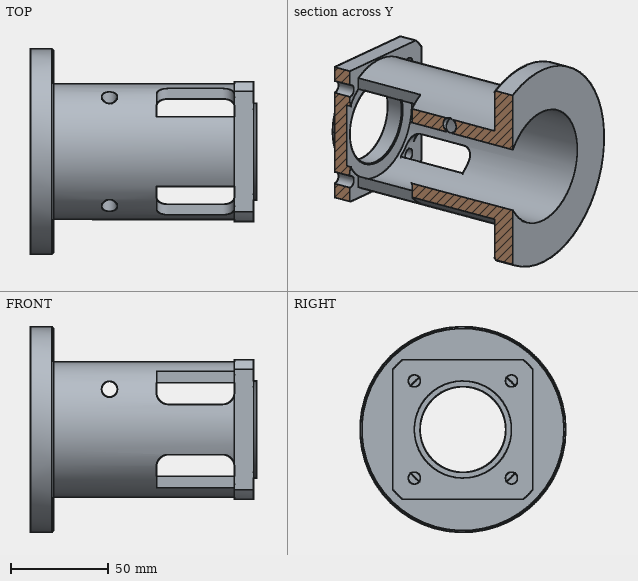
import cadquery as cq

flange_thickness = 12.0
plate_thickness = 10.0
pilot_length = 1.5
total_length = 116.5
plate_end = total_length - pilot_length
plate_start = plate_end - plate_thickness

flange_diameter = 106.0
flange_chamfer = 1.0
tube_diameter = 70.0
bore_diameter = 60.0
pilot_diameter = 50.0
pilot_bore_diameter = 44.0
main_bore_depth_in_plate = 2.0
main_bore_end = plate_start + main_bore_depth_in_plate
pilot_bore_chamfer = 0.5

plate_side = 72.0
plate_corner_diameter = 95.0
bolt_hole_diameter = 6.2
bolt_hole_offset = 25.0

window_length = 40.0
window_inner_y = 18.0
window_inner_z = 13.0
window_corner_radius = 6.0

cross_hole_diameter = 8.0
cross_hole_x = 40.75
cross_hole_z = 20.75


def x_cylinder(diameter, start, end):
    """Cylinder on the X axis between two X positions."""
    plane = cq.Workplane("YZ", origin=(start, 0, 0))
    return plane.circle(diameter / 2).extrude(end - start)


def make_flange():
    flange = x_cylinder(flange_diameter, 0, flange_thickness)
    return flange.faces(">X").chamfer(flange_chamfer)


def make_plate():
    plane = cq.Workplane("YZ", origin=(plate_start, 0, 0))
    plate = plane.rect(plate_side, plate_side).extrude(plate_thickness)
    return plate.intersect(x_cylinder(plate_corner_diameter, plate_start, plate_end))


def make_bores():
    """Main bore a little way into the plate, then a smaller bore with a chamfered mouth."""
    main_bore = x_cylinder(bore_diameter, 0, main_bore_end)
    pilot_bore = x_cylinder(pilot_bore_diameter, main_bore_end, total_length)
    mouth = cq.Solid.makeCone(
        pilot_bore_diameter / 2 + pilot_bore_chamfer,
        pilot_bore_diameter / 2,
        pilot_bore_chamfer,
        pnt=cq.Vector(main_bore_end, 0, 0),
        dir=cq.Vector(1, 0, 0),
    )
    return main_bore.union(pilot_bore).union(cq.Workplane(mouth))


def make_bolt_holes():
    spacing = 2 * bolt_hole_offset
    plane = cq.Workplane("YZ", origin=(plate_start, 0, 0))
    holes = plane.rarray(spacing, spacing, 2, 2).circle(bolt_hole_diameter / 2)
    return holes.extrude(plate_thickness)


def make_window(y_side, z_side):
    """Block that opens one quadrant; only its two corners nearest the axis are rounded."""
    reach = tube_diameter / 2
    size_y = reach - window_inner_y
    size_z = reach - window_inner_z
    block = cq.Workplane("XY").box(window_length, size_y, size_z)
    inner_edges = block.faces("<Z" if z_side > 0 else ">Z").edges("|Y")
    block = inner_edges.fillet(window_corner_radius)
    return block.translate((
        plate_start - window_length / 2,
        y_side * (reach + window_inner_y) / 2,
        z_side * (reach + window_inner_z) / 2,
    ))


def make_cross_hole():
    plane = cq.Workplane("XZ").center(cross_hole_x, cross_hole_z)
    return plane.circle(cross_hole_diameter / 2).extrude(tube_diameter / 2, both=True)


result = (
    make_flange()
    .union(x_cylinder(tube_diameter, 0, plate_start))
    .union(make_plate())
    .union(x_cylinder(pilot_diameter, plate_start, total_length))
    .cut(make_bores())
    .cut(make_bolt_holes())
    .cut(make_cross_hole())
)
for y_side in (-1, 1):
    for z_side in (-1, 1):
        result = result.cut(make_window(y_side, z_side))